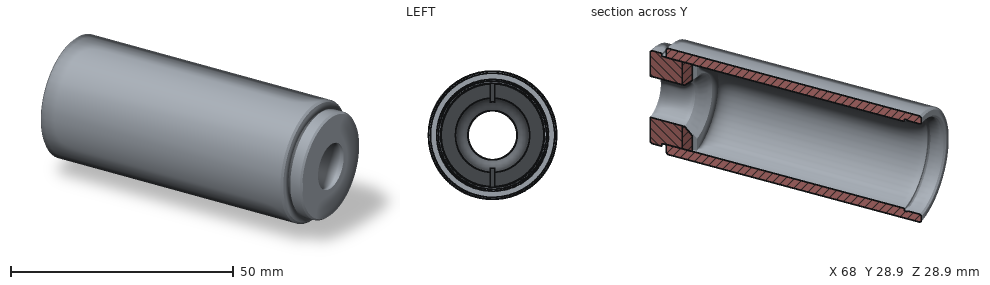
import cadquery as cq
import math

total_length = 68.0
x_start = -total_length / 2
x_end = total_length / 2

sleeve_length = 63.9
sleeve_radius = 14.445
sleeve_chamfer = 0.5
bore_radius = 11.7
mouth_radius = 12.2
mouth_depth = 4.3
mouth_chamfer = 0.4
relief_width = 0.55
relief_depth = 0.2

neck_radius = 11.9
neck_length = 1.0
lip_radius = 12.65
lip_chamfer = 0.5
spigot_length = 4.1
wedge_angle = 0.3

ring_length = 3.4
ring_edge_chamfer = 0.15
aperture_radius = 5.5
cone_radius = 8.35
slot_width = 1.0
slot_depth = 0.9

x_sleeve_end = x_start + sleeve_length
x_mouth_end = x_start + mouth_depth
x_lip = x_sleeve_end + neck_length
x_spigot = x_sleeve_end - spigot_length
x_ring = x_spigot - ring_length


def revolve_about_x(points):
    """Turn a closed (x, radius) outline into a solid about the X axis."""
    return cq.Workplane("XY").polyline(points).close().revolve(360, (0, 0, 0), (1, 0, 0))


def make_sleeve():
    """Tube with a wider mouth that ends in a shallow relief groove."""
    relief_radius = mouth_radius + relief_depth
    return revolve_about_x([
        (x_start, mouth_radius + mouth_chamfer),
        (x_start, sleeve_radius - sleeve_chamfer),
        (x_start + sleeve_chamfer, sleeve_radius),
        (x_sleeve_end - sleeve_chamfer, sleeve_radius),
        (x_sleeve_end, sleeve_radius - sleeve_chamfer),
        (x_sleeve_end, bore_radius),
        (x_mouth_end, bore_radius),
        (x_mouth_end, relief_radius),
        (x_mouth_end - relief_width, relief_radius),
        (x_mouth_end - relief_width, mouth_radius),
        (x_start + mouth_chamfer, mouth_radius),
    ])


def make_end_plug():
    """Spigot, neck and lip, with the outer face cut at a slight wedge angle."""
    face_radius = lip_radius - lip_chamfer
    wedge_drop = 2 * face_radius * math.tan(math.radians(wedge_angle))
    x_chamfer = x_end - wedge_drop / 2 - lip_chamfer
    plug = revolve_about_x([
        (x_spigot, aperture_radius),
        (x_spigot, bore_radius),
        (x_sleeve_end, bore_radius),
        (x_sleeve_end, neck_radius),
        (x_lip, neck_radius),
        (x_lip, lip_radius),
        (x_chamfer, lip_radius),
        (x_end, face_radius),
        (x_end, aperture_radius),
    ])
    wedge_offcut = (
        cq.Workplane("XY")
        .polyline([(x_end, face_radius), (x_end, -face_radius), (x_end - wedge_drop, -face_radius)])
        .close()
        .extrude(lip_radius, both=True)
    )
    return plug.cut(wedge_offcut)


def make_retaining_ring():
    """Ring with a 45 degree cone and a spanner slot on each side of the aperture."""
    cone_depth = cone_radius - aperture_radius
    ring = revolve_about_x([
        (x_ring, cone_radius),
        (x_ring, bore_radius - ring_edge_chamfer),
        (x_ring + ring_edge_chamfer, bore_radius),
        (x_spigot, bore_radius),
        (x_spigot, aperture_radius),
        (x_ring + cone_depth, aperture_radius),
    ])
    spanner_slot = cq.Workplane("XY").box(slot_depth, slot_width, 2 * bore_radius)
    return ring.cut(spanner_slot.translate((x_ring + slot_depth / 2, 0, 0)))


sleeve = make_sleeve()
end_plug = make_end_plug()
retaining_ring = make_retaining_ring()

result = cq.Compound.makeCompound([sleeve.val(), end_plug.val(), retaining_ring.val()])